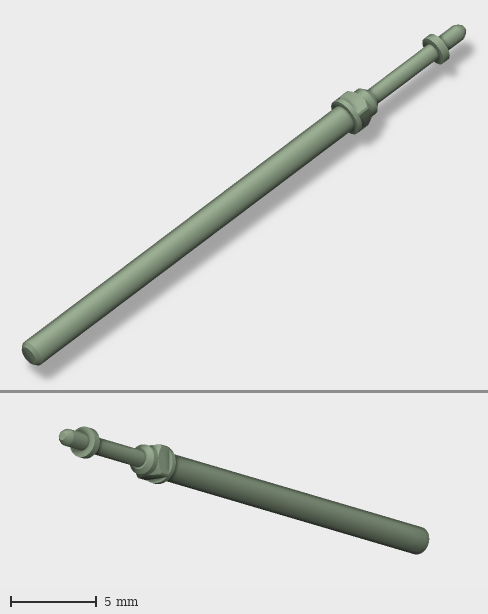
import cadquery as cq

total_length = 35.0
tip_y = total_length / 2
tail_y = -total_length / 2

plunger_diameter = 1.0
plunger_radius = plunger_diameter / 2
tip_length = 0.45
tip_flat_radius = 0.25
tip_mid_radius = 0.4
tip_mid_depth = 0.18

disc_radius = 0.9
disc_start = 1.95
disc_thickness = 0.5

nose_start = 7.5
nose_length = 0.28
nose_small_radius = 0.63
across_flats = 1.8
neck_radius = across_flats / 2
neck_length = 0.42
corner_radius = 1.2
corner_taper_length = 0.3

collar_radius = 1.15
collar_start = 9.25
collar_thickness = 0.3

barrel_diameter = 1.65
barrel_radius = barrel_diameter / 2
tail_chamfer_width = 0.2
tail_chamfer_length = 0.25


def cylinder(radius, front_depth, back_depth):
    """Cylinder about Y between two depths measured back from the tip."""
    return (
        cq.Workplane("XZ", origin=(0, tip_y - front_depth, 0))
        .circle(radius)
        .extrude(back_depth - front_depth)
    )


def make_plunger():
    end_y = tip_y - nose_start - nose_length
    return (
        cq.Workplane("XY")
        .moveTo(0, tip_y)
        .lineTo(tip_flat_radius, tip_y)
        .threePointArc((tip_mid_radius, tip_y - tip_mid_depth), (plunger_radius, tip_y - tip_length))
        .lineTo(plunger_radius, end_y)
        .lineTo(0, end_y)
        .close()
        .revolve(360, (0, 0, 0), (0, 1, 0))
    )


def make_head():
    nose_y = tip_y - nose_start
    neck_y = nose_y - nose_length
    square_y = neck_y - neck_length
    collar_y = tip_y - collar_start
    turned = (
        cq.Workplane("XY")
        .moveTo(0, nose_y)
        .lineTo(nose_small_radius, nose_y)
        .lineTo(neck_radius, neck_y)
        .lineTo(neck_radius, square_y)
        .lineTo(corner_radius, square_y - corner_taper_length)
        .lineTo(corner_radius, collar_y)
        .lineTo(0, collar_y)
        .close()
        .revolve(360, (0, 0, 0), (0, 1, 0))
    )
    square = (
        cq.Workplane("XZ", origin=(0, nose_y, 0))
        .rect(across_flats, across_flats)
        .extrude(collar_start - nose_start)
    )
    return turned.intersect(square)


def make_barrel():
    collar_y = tip_y - collar_start
    return (
        cq.Workplane("XY")
        .moveTo(0, collar_y)
        .lineTo(barrel_radius, collar_y)
        .lineTo(barrel_radius, tail_y + tail_chamfer_length)
        .lineTo(barrel_radius - tail_chamfer_width, tail_y)
        .lineTo(0, tail_y)
        .close()
        .revolve(360, (0, 0, 0), (0, 1, 0))
    )


disc = cylinder(disc_radius, disc_start, disc_start + disc_thickness)
collar = cylinder(collar_radius, collar_start, collar_start + collar_thickness)

result = make_plunger().union(disc).union(make_head()).union(collar).union(make_barrel())